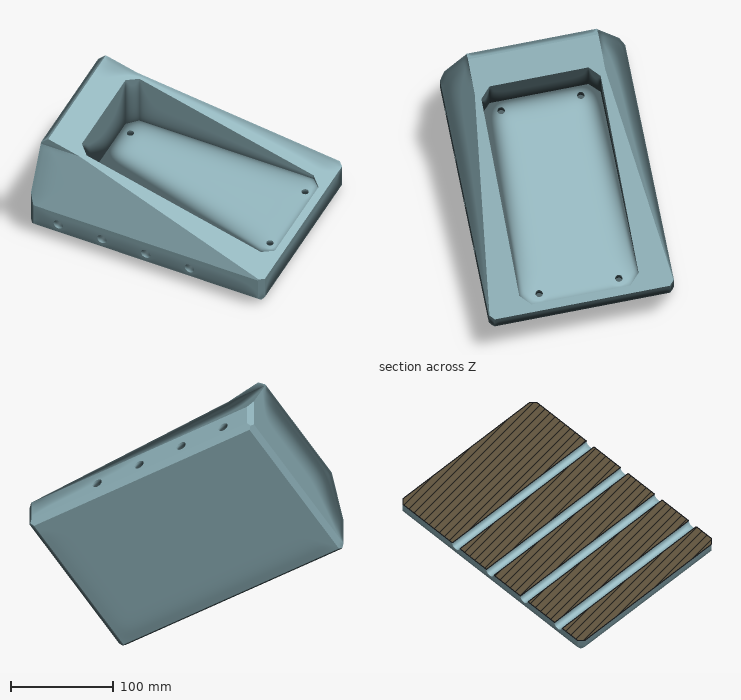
import cadquery as cq

length = 254.0
width = 185.0
height = 97.8
edge_chamfer = 5.0

low_end_height = 30.0
ridge_chamfer = 8.1

ridge_width = 130.3
flank_top_height = 88.5

pocket_start = 37.0
pocket_length = 209.5
pocket_width = 119.0
pocket_corner = 10.2
pocket_floor = low_end_height
pocket_center_x = pocket_start + pocket_length / 2

floor_hole_diameter = 7.0
floor_hole_depth = 10.2
floor_hole_spacing_x = 189.7
floor_hole_spacing_y = 79.5

cross_hole_diameter = 10.2
cross_hole_height = 15.0
cross_hole_count = 4
cross_hole_pitch = 47.5
first_cross_hole_x = 32.0


def plain_block():
    """Rectangular block resting on Z = 0, starting at X = 0 and centred on Y."""
    return cq.Workplane("XY").box(length, width, height, centered=(False, True, False))


def chamfered_block():
    """Block with a chamfered bottom rim, its corners then cut by vertical chamfer planes."""
    rim_chamfered = plain_block().faces("<Z").edges().chamfer(edge_chamfer)
    corner_chamfered = plain_block().edges("|Z").chamfer(edge_chamfer)
    return rim_chamfered.intersect(corner_chamfered)


def wedge_envelope():
    """Side profile in XZ, extended over the full width."""
    return (
        cq.Workplane("XZ")
        .moveTo(0, 0)
        .lineTo(length, 0)
        .lineTo(length, low_end_height)
        .lineTo(ridge_chamfer, height)
        .lineTo(0, height - ridge_chamfer)
        .close()
        .extrude(width / 2, both=True)
    )


def flank_envelope():
    """End profile in YZ with leaning flanks, extended over the full length."""
    half_width = width / 2
    half_ridge = ridge_width / 2
    return (
        cq.Workplane("YZ")
        .moveTo(-half_width, 0)
        .lineTo(half_width, 0)
        .lineTo(half_width, low_end_height)
        .lineTo(half_ridge, flank_top_height)
        .lineTo(half_ridge, height)
        .lineTo(-half_ridge, height)
        .lineTo(-half_ridge, flank_top_height)
        .lineTo(-half_width, low_end_height)
        .close()
        .extrude(length)
    )


def pocket():
    """Vertical-walled pocket with cut corners, open at the top."""
    return (
        cq.Workplane("XY", origin=(pocket_center_x, 0, pocket_floor))
        .rect(pocket_length, pocket_width)
        .extrude(height - pocket_floor)
        .edges("|Z")
        .chamfer(pocket_corner)
    )


def floor_holes():
    """Four blind holes going down from the pocket floor."""
    return (
        cq.Workplane("XY", origin=(pocket_center_x, 0, pocket_floor))
        .rect(floor_hole_spacing_x, floor_hole_spacing_y, forConstruction=True)
        .vertices()
        .circle(floor_hole_diameter / 2)
        .extrude(-floor_hole_depth)
    )


def cross_holes():
    """Row of round holes passing through the part along Y."""
    centers = [
        (first_cross_hole_x + index * cross_hole_pitch, cross_hole_height)
        for index in range(cross_hole_count)
    ]
    return (
        cq.Workplane("XZ")
        .pushPoints(centers)
        .circle(cross_hole_diameter / 2)
        .extrude(width / 2, both=True)
    )


body = chamfered_block().intersect(wedge_envelope()).intersect(flank_envelope())
result = body.cut(pocket()).cut(floor_holes()).cut(cross_holes())